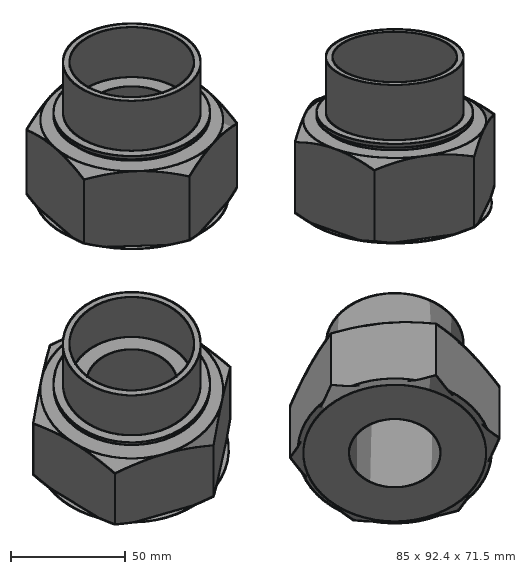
import cadquery as cq
import math

across_corners = 92.4
across_flats = across_corners * math.cos(math.radians(30))
nut_height = 40.9
chamfer_angle = math.radians(30)

rim_diameter = 85.0

neck_diameter = 63.5
collar_diameter = 68.5
collar_bottom = 43.3
collar_top = 45.1
tube_diameter = 60.3
total_height = 71.5

socket_diameter = 54.5
socket_floor = collar_top
bore_diameter = 40.0


def cylinder(diameter, bottom, top):
    return cq.Workplane("XY").workplane(offset=bottom).circle(diameter / 2).extrude(top - bottom)


def cone_rise(diameter):
    """Axial distance over which a chamfer cone grows from the flats to this diameter."""
    return (diameter - across_flats) / 2 * math.tan(chamfer_angle)


def hex_nut():
    """Hexagonal prism with its corners turned down at both ends."""
    prism = (
        cq.Workplane("XY")
        .polygon(6, across_corners)
        .extrude(nut_height)
        .rotate((0, 0, 0), (0, 0, 1), 90)
    )
    end_radius = across_flats / 2
    corner_radius = across_corners / 2
    chamfer_height = cone_rise(across_corners)
    envelope = (
        cq.Workplane("XZ")
        .moveTo(0, 0)
        .lineTo(end_radius, 0)
        .lineTo(corner_radius, chamfer_height)
        .lineTo(corner_radius, nut_height - chamfer_height)
        .lineTo(end_radius, nut_height)
        .lineTo(0, nut_height)
        .close()
        .revolve(360, (0, 0, 0), (0, 1, 0))
    )
    return prism.intersect(envelope)


def foot_rim():
    """Thin disc whose edge continues the lower chamfer cone beyond the flats."""
    rim_height = cone_rise(rim_diameter)
    return (
        cq.Workplane("XZ")
        .moveTo(0, 0)
        .lineTo(across_flats / 2, 0)
        .lineTo(rim_diameter / 2, rim_height)
        .lineTo(0, rim_height)
        .close()
        .revolve(360, (0, 0, 0), (0, 1, 0))
    )


def spigot():
    neck = cylinder(neck_diameter, nut_height, collar_bottom)
    collar = cylinder(collar_diameter, collar_bottom, collar_top)
    tube = cylinder(tube_diameter, collar_top, total_height)
    return neck.union(collar).union(tube)


body = hex_nut().union(foot_rim()).union(spigot())
through_bore = cylinder(bore_diameter, 0, total_height)
socket = cylinder(socket_diameter, socket_floor, total_height)
result = body.cut(through_bore).cut(socket)